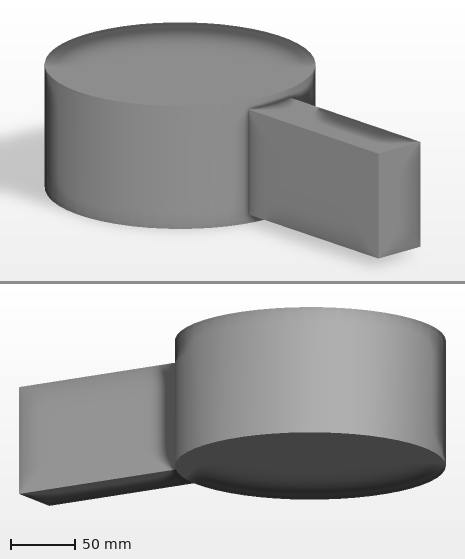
import cadquery as cq

total_length = 357.8
drum_diameter = 210.0
drum_height = 100.0
arm_width = 44.0
arm_height = 85.5

drum_radius = drum_diameter / 2
arm_reach = total_length - drum_radius

drum = cq.Workplane("XY").circle(drum_radius).extrude(drum_height / 2, both=True)

arm = cq.Workplane("XY").box(arm_reach, arm_width, arm_height, centered=(False, True, True))

result = drum.union(arm)